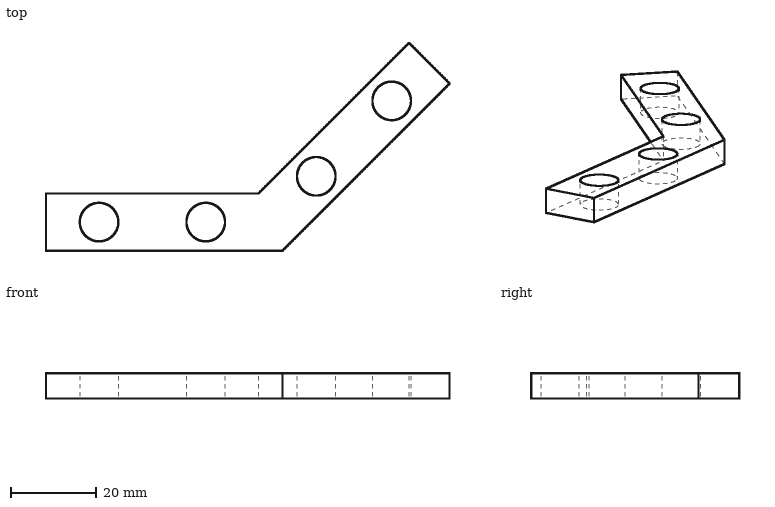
import cadquery as cq
import math

overall_length = 94.7
overall_width = 48.8
thickness = 6.0
bend_angle = 45.0
hole_diameter = 9.0
end_to_first_hole = 12.5
hole_spacing = 25.0

cos_bend = math.cos(math.radians(bend_angle))
sin_bend = math.sin(math.radians(bend_angle))
outer_arm_length = overall_length / (1 + cos_bend)
arm_width = (overall_width - outer_arm_length * sin_bend) / cos_bend
inner_arm_length = outer_arm_length - arm_width * math.tan(math.radians(bend_angle / 2))


def on_straight_arm(distance_from_end, offset):
    """Point on the arm along X, offset inward from its outer edge."""
    return (distance_from_end - outer_arm_length, offset)


def on_angled_arm(distance_from_end, offset):
    """Matching point on the angled arm, with the outer bend corner at the origin."""
    along = outer_arm_length - distance_from_end
    return (
        along * cos_bend - offset * sin_bend,
        along * sin_bend + offset * cos_bend,
    )


outline = [
    on_straight_arm(0, 0),
    (0, 0),
    on_angled_arm(0, 0),
    on_angled_arm(0, arm_width),
    on_straight_arm(inner_arm_length, arm_width),
    on_straight_arm(0, arm_width),
]
bar = cq.Workplane("XY").polyline(outline).close().extrude(thickness)

hole_centers = [
    on_arm(distance, arm_width / 2)
    for on_arm in (on_straight_arm, on_angled_arm)
    for distance in (end_to_first_hole, end_to_first_hole + hole_spacing)
]
holes = (
    cq.Workplane("XY")
    .pushPoints(hole_centers)
    .circle(hole_diameter / 2)
    .extrude(thickness)
)

result = bar.cut(holes)